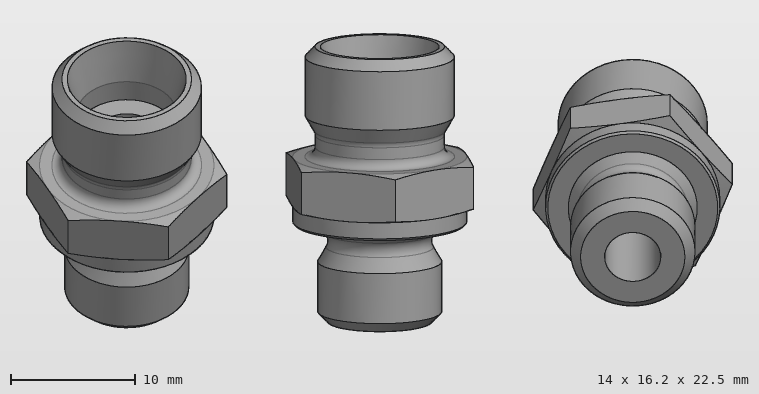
import cadquery as cq
import math

total_height = 22.5
flange_bottom = 8.0
hex_bottom = 9.5
hex_top = 13.5

across_flats = 14.0
flange_radius = across_flats / 2
flange_chamfer = 0.18
hex_half_angle = 30.0
hex_chamfer_angle = 15.0
hex_envelope_margin = 0.22

lower_radius = 10.0 / 2
lower_tip_radius = 4.18
lower_tip_chamfer_height = 0.83
lower_thread_top = 4.93
groove_radius = 1.0
groove_mouth_radius = 5.18

upper_radius = 12.0 / 2
upper_tip_radius = 10.4 / 2
upper_tip_chamfer_height = 0.83
upper_neck_radius = 10.4 / 2
upper_thread_bottom = 16.88
neck_fillet = 0.8

runout_angle = math.radians(30.0)
undercut_angle = math.radians(45.0)

bore_radius = 4.5 / 2
socket_radius = 8.0 / 2
socket_mouth_radius = 4.77
socket_depth = 5.5
socket_half_angle = math.radians(12.0)


def make_lower_end():
    """Lower thread with a V groove rounded at its root."""
    groove_height = flange_bottom - lower_thread_top
    mouth_step = groove_mouth_radius - lower_radius
    cone_slopes = 1 / math.tan(runout_angle) + 1 / math.tan(undercut_angle)
    groove_depth = (groove_height - mouth_step / math.tan(undercut_angle)) / cone_slopes
    root_radius = lower_radius - groove_depth
    root_height = lower_thread_top + groove_depth / math.tan(runout_angle)

    turn_angle = runout_angle + undercut_angle
    setback = groove_radius * math.tan(turn_angle / 2)
    arc_start = (
        root_radius + setback * math.sin(runout_angle),
        root_height - setback * math.cos(runout_angle),
    )
    arc_end = (
        root_radius + setback * math.sin(undercut_angle),
        root_height + setback * math.cos(undercut_angle),
    )
    return (
        cq.Workplane("XZ")
        .lineTo(lower_tip_radius, 0)
        .lineTo(lower_radius, lower_tip_chamfer_height)
        .lineTo(lower_radius, lower_thread_top)
        .lineTo(*arc_start)
        .radiusArc(arc_end, groove_radius)
        .lineTo(groove_mouth_radius, flange_bottom)
        .lineTo(0, flange_bottom)
        .close()
        .revolve(360, (0, 0, 0), (0, 1, 0))
    )


def make_flange():
    height = hex_bottom - flange_bottom
    flange = cq.Workplane("XY").workplane(offset=flange_bottom).circle(flange_radius).extrude(height)
    return flange.faces("<Z").chamfer(flange_chamfer)


def make_hexagon():
    """Hexagon with two flats facing X, its corners turned off by shallow cones."""
    corner_radius = flange_radius / math.cos(math.radians(hex_half_angle))
    hexagon = (
        cq.Workplane("XY")
        .workplane(offset=hex_bottom)
        .polygon(6, 2 * corner_radius)
        .extrude(hex_top - hex_bottom)
        .rotate((0, 0, 0), (0, 0, 1), hex_half_angle)
    )
    envelope_radius = corner_radius + hex_envelope_margin
    chamfer_height = (envelope_radius - flange_radius) * math.tan(math.radians(hex_chamfer_angle))
    envelope = (
        cq.Workplane("XZ")
        .moveTo(0, hex_bottom)
        .lineTo(flange_radius, hex_bottom)
        .lineTo(envelope_radius, hex_bottom + chamfer_height)
        .lineTo(envelope_radius, hex_top - chamfer_height)
        .lineTo(flange_radius, hex_top)
        .lineTo(0, hex_top)
        .close()
        .revolve(360, (0, 0, 0), (0, 1, 0))
    )
    return hexagon.intersect(envelope)


def make_upper_end():
    """Upper thread on a plain neck, with arcs at both ends of the neck."""
    runout_start_radius = upper_neck_radius + neck_fillet * (1 - math.cos(runout_angle))
    runout_height = (upper_radius - runout_start_radius) / math.tan(runout_angle)
    runout_start = upper_thread_bottom - runout_height
    neck_top = runout_start - neck_fillet * math.sin(runout_angle)
    return (
        cq.Workplane("XZ")
        .moveTo(0, hex_top)
        .lineTo(upper_neck_radius + neck_fillet, hex_top)
        .radiusArc((upper_neck_radius, hex_top + neck_fillet), neck_fillet)
        .lineTo(upper_neck_radius, neck_top)
        .radiusArc((runout_start_radius, runout_start), neck_fillet)
        .lineTo(upper_radius, upper_thread_bottom)
        .lineTo(upper_radius, total_height - upper_tip_chamfer_height)
        .lineTo(upper_tip_radius, total_height)
        .lineTo(0, total_height)
        .close()
        .revolve(360, (0, 0, 0), (0, 1, 0))
    )


def make_bore():
    """Through hole opening into a flat-bottomed socket with a conical mouth."""
    cone_height = (socket_mouth_radius - socket_radius) / math.tan(socket_half_angle)
    socket_floor = total_height - socket_depth
    return (
        cq.Workplane("XZ")
        .lineTo(bore_radius, 0)
        .lineTo(bore_radius, socket_floor)
        .lineTo(socket_radius, socket_floor)
        .lineTo(socket_radius, total_height - cone_height)
        .lineTo(socket_mouth_radius, total_height)
        .lineTo(0, total_height)
        .close()
        .revolve(360, (0, 0, 0), (0, 1, 0))
    )


body = make_lower_end().union(make_flange()).union(make_hexagon()).union(make_upper_end())
result = body.cut(make_bore())